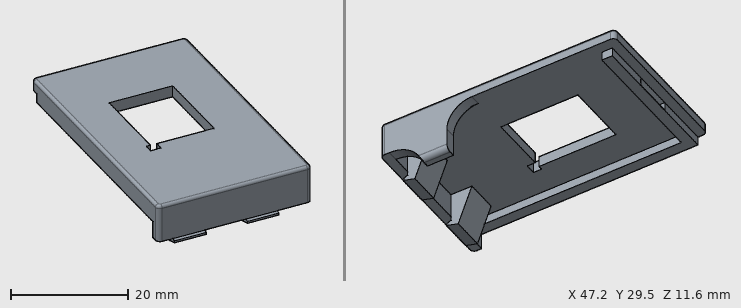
import cadquery as cq
import math

length = 47.25
width = 29.5
height = 11.6
plate_thickness = 2.2
corner_radius = 0.85
top_edge_radius = 0.55

skirt_bottom = -3.95
end_wall_bottom = -7.2
end_wall_thickness = 1.85
side_wall_thickness = 2.1
lip_overhang = 1.85

window_x = (13.3, 28.8)
window_y = (-6.7, 5.45)
notch_x = (window_x[1], 30.4)
notch_y = (-7.5, -5.55)

tab_left = 33.82
tab_foot_right = 39.05
tab_root_radius = 5.0
tab_corner_radius = 1.05

hook_spans_y = ((2.95, 8.95), (-11.05, -4.9))
hook_toe = (43.95, -9.45)
hook_lean = 0.38
barb_start_z = -7.95
barb_top = (46.25, -8.4)
barb_tip = (46.35, -8.75)

groove_y = (-4.1, 3.5)
groove_top = -plate_thickness
groove_bottom = -3.87
groove_depth = 0.75

half_width = width / 2
wall_inner_x = length - end_wall_thickness
plate_bottom = -plate_thickness


def box(x_span, y_span, z_span):
    """Box between the given limits on each axis."""
    size = [high - low for low, high in (x_span, y_span, z_span)]
    corner = (x_span[0], y_span[0], z_span[0])
    return cq.Workplane("XY").box(*size, centered=False).translate(corner)


def make_shell():
    """Plate with a skirt on -X and -Y and a deeper wall on +X."""
    full = box((0, length), (-half_width, half_width), (end_wall_bottom, 0))
    full = full.edges("|Z").fillet(corner_radius)
    full = full.faces(">Z").edges().fillet(top_edge_radius)
    step = box((0, lip_overhang), (-half_width, half_width), (end_wall_bottom, plate_bottom))
    below = box((0, wall_inner_x), (-half_width, half_width), (end_wall_bottom, skirt_bottom))
    cavity = box(
        (lip_overhang + side_wall_thickness, wall_inner_x),
        (-half_width + side_wall_thickness, half_width),
        (end_wall_bottom, plate_bottom),
    )
    open_side = box(
        (0, wall_inner_x),
        (half_width - side_wall_thickness, half_width),
        (end_wall_bottom, plate_bottom),
    )
    return full.cut(step).cut(below).cut(cavity).cut(open_side)


def make_tab():
    """Grip tab with a rounded root and a concave relief beside the hooks."""
    diagonal = math.sqrt(0.5)
    root_center = (tab_left - tab_root_radius, plate_bottom - tab_root_radius)
    root_middle = (
        root_center[0] + tab_root_radius * diagonal,
        root_center[1] + tab_root_radius * diagonal,
    )
    relief_run = wall_inner_x - tab_foot_right
    relief_drop = height + end_wall_bottom
    relief_radius = (relief_run**2 + relief_drop**2) / (2 * relief_drop)
    relief_center_z = end_wall_bottom - relief_radius
    foot_angle = math.acos(-relief_run / relief_radius)
    middle_angle = (foot_angle + math.pi / 2) / 2
    relief_middle = (
        wall_inner_x + relief_radius * math.cos(middle_angle),
        relief_center_z + relief_radius * math.sin(middle_angle),
    )
    foot_right = (tab_foot_right, -height)
    tab = (
        cq.Workplane("XZ", origin=(0, half_width, 0))
        .moveTo(root_center[0], plate_bottom)
        .threePointArc(root_middle, (tab_left, root_center[1]))
        .lineTo(tab_left, -height)
        .lineTo(*foot_right)
        .threePointArc(relief_middle, (wall_inner_x, end_wall_bottom))
        .lineTo(wall_inner_x, plate_bottom)
        .close()
        .extrude(side_wall_thickness)
    )
    return tab.faces("<Z").edges(">Y").fillet(tab_corner_radius)


def make_hook(y_span):
    """Wedge hanging from the plate, with a barb pointing to +X."""
    root_x = hook_toe[0] - hook_lean * (plate_bottom - hook_toe[1])
    outline = [
        (root_x, plate_bottom),
        hook_toe,
        barb_tip,
        barb_top,
        (wall_inner_x, barb_start_z),
        (wall_inner_x, plate_bottom),
    ]
    low, high = y_span
    return cq.Workplane("XZ", origin=(0, high, 0)).polyline(outline).close().extrude(high - low)


def make_groove():
    """Groove cutter tapering to a ridge line, with sloping ends."""
    groove_height = groove_top - groove_bottom
    taper = math.degrees(math.atan(groove_height / 2 / groove_depth))
    center = (lip_overhang, sum(groove_y) / 2, (groove_top + groove_bottom) / 2)
    ridge_clearance = 0.005
    return (
        cq.Workplane("YZ", origin=center)
        .rect(groove_y[1] - groove_y[0], groove_height)
        .extrude(groove_depth - ridge_clearance, taper=taper)
    )


result = make_shell().union(make_tab())
for hook_span in hook_spans_y:
    result = result.union(make_hook(hook_span))

through_z = (-height, 0)
result = result.cut(box(window_x, window_y, through_z))
result = result.cut(box(notch_x, notch_y, through_z))
result = result.cut(make_groove())